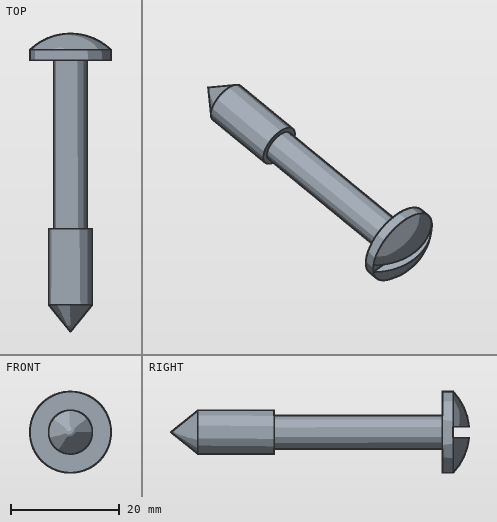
import cadquery as cq

total_length = 55.0
head_diameter = 15.0
shank_diameter = 6.2
tip_diameter = 8.1

rim_thickness = 2.0
dome_height = 3.0
tip_length = 14.0
point_length = 5.0

slot_width = 2.0

head_radius = head_diameter / 2
shank_radius = shank_diameter / 2
tip_radius = tip_diameter / 2

rim_top = rim_thickness
dome_top = rim_top + dome_height

sphere_radius = (head_radius**2 + dome_height**2) / (2 * dome_height)
sphere_center = dome_top - sphere_radius
arc_mid_x = head_radius / 2
arc_mid_y = sphere_center + (sphere_radius**2 - arc_mid_x**2) ** 0.5

slot_edge_top = sphere_center + (sphere_radius**2 - (slot_width / 2) ** 2) ** 0.5

point_end = slot_edge_top - total_length
point_base = point_end + point_length
tip_shoulder = point_base + tip_length


def make_body():
    """Revolve the half profile of the pin about the Y axis."""
    return (
        cq.Workplane("XY")
        .moveTo(0, point_end)
        .lineTo(tip_radius, point_base)
        .lineTo(tip_radius, tip_shoulder)
        .lineTo(shank_radius, tip_shoulder)
        .lineTo(shank_radius, 0)
        .lineTo(head_radius, 0)
        .lineTo(head_radius, rim_top)
        .threePointArc((arc_mid_x, arc_mid_y), (0, dome_top))
        .close()
        .revolve(360, (0, 0, 0), (0, 1, 0))
    )


def make_slot():
    """Box along X that reaches from the top of the dome down to the rim."""
    return (
        cq.Workplane("XY")
        .box(head_diameter, dome_height, slot_width, centered=(True, False, True))
        .translate((0, rim_top, 0))
    )


result = make_body().cut(make_slot())